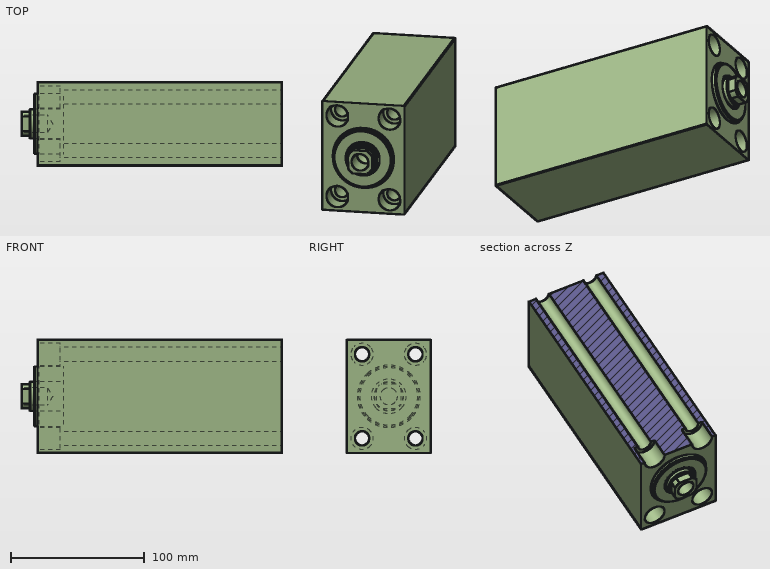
import cadquery as cq


total_length = 195.0
rod_reach = 12.0
housing_length = total_length - rod_reach
housing_width = 63.0
housing_height = 85.0
edge_chamfer = 0.49

hole_spacing_y = 40.0
hole_spacing_z = 63.0
hole_diameter = 10.5
counterbore_diameter = 16.5
counterbore_depth = 16.5

gland_diameter = 45.0
gland_reach = 3.0
gland_seat_depth = 19.5
gland_chamfer = 1.0
recess_chamfer = 1.0
wiper_diameter = 26.0
wiper_depth = 1.0

rod_diameter = 22.0
tip_diameter = 21.0
tip_length = 6.0
across_flats = 18.1
shoulder_chamfer_length = 0.8
rod_hole_diameter = 12.9
rod_hole_depth = 19.5
drill_point_length = 3.9


def cylinder(start_x, length, diameter):
    """Solid cylinder on the X axis, running to +X from start_x."""
    return cq.Workplane("YZ", origin=(start_x, 0, 0)).circle(diameter / 2).extrude(length)


def make_housing():
    block = cq.Workplane("XY").box(
        housing_length, housing_width, housing_height, centered=(False, True, True)
    )
    block = block.edges("|X").chamfer(edge_chamfer)
    block = block.cut(cylinder(0, gland_seat_depth, gland_diameter))
    block = block.faces("<X").edges("%CIRCLE").chamfer(recess_chamfer)
    return (
        block.faces("<X")
        .workplane(origin=(0, 0, 0))
        .rect(hole_spacing_y, hole_spacing_z, forConstruction=True)
        .vertices()
        .cboreHole(hole_diameter, counterbore_diameter, counterbore_depth)
    )


def make_gland():
    gland = cylinder(-gland_reach, gland_reach + gland_seat_depth, gland_diameter)
    gland = gland.faces("<X").chamfer(gland_chamfer)
    gland = gland.cut(cylinder(-gland_reach, wiper_depth, wiper_diameter))
    return gland.cut(cylinder(-gland_reach, gland_reach + gland_seat_depth, rod_diameter))


def make_rod():
    shoulder_x = tip_length - rod_reach
    tip = cylinder(-rod_reach, tip_length, tip_diameter)
    flats = cq.Workplane("XY", origin=(-rod_reach, 0, 0)).box(
        tip_length, across_flats, across_flats, centered=(False, True, True)
    )
    shank = cylinder(shoulder_x, gland_seat_depth - shoulder_x, rod_diameter)
    shank = shank.faces("<X").chamfer(shoulder_chamfer_length, (rod_diameter - tip_diameter) / 2)
    hole = (
        cq.Workplane("XY", origin=(-rod_reach, 0, 0))
        .lineTo(rod_hole_depth + drill_point_length, 0)
        .lineTo(rod_hole_depth, rod_hole_diameter / 2)
        .lineTo(0, rod_hole_diameter / 2)
        .close()
        .revolve(360, (0, 0, 0), (1, 0, 0))
    )
    return shank.union(tip.intersect(flats)).cut(hole)


housing = make_housing()
gland = make_gland()
rod = make_rod()

result = cq.Compound.makeCompound([housing.val(), gland.val(), rod.val()])